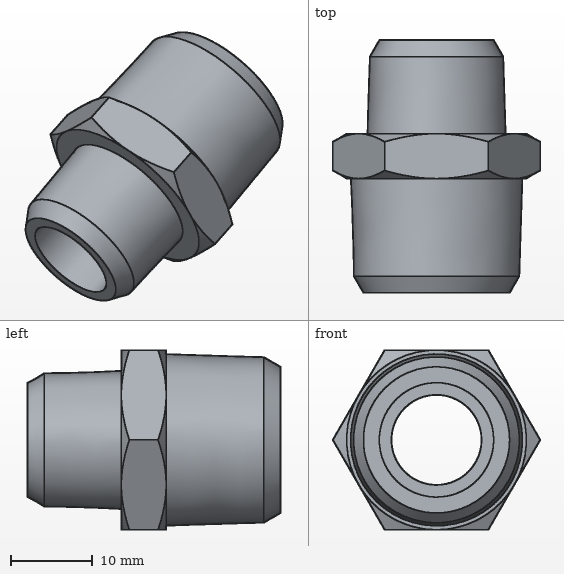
import cadquery as cq
import math

total_length = 31.0
hex_flats = 22.0
hex_width = 5.5
hex_chamfer_angle = 30.0

large_length = 14.0
large_end_diameter = 20.3
large_bore_diameter = 14.0

small_end_diameter = 16.37
small_bore_diameter = 11.0

end_chamfer_length = 2.08
end_chamfer_angle = 30.0
thread_taper = 1 / 16

small_length = total_length - large_length - hex_width
hex_rear = large_length + hex_width
large_bore_depth = large_length


def revolve_about_y(profile):
    """Revolve a closed (radius, y) profile around the Y axis."""
    return cq.Workplane("XY").polyline(profile).close().revolve(360, (0, 0, 0), (0, 1, 0))


def tapered_end(end_y, direction, length, end_diameter):
    """Tapered spigot with a chamfered tip; direction points from tip to hexagon."""
    rim_radius = end_diameter / 2
    tip_radius = rim_radius - end_chamfer_length * math.tan(math.radians(end_chamfer_angle))
    root_radius = rim_radius + (length - end_chamfer_length) * thread_taper / 2
    rim_y = end_y + direction * end_chamfer_length
    root_y = end_y + direction * length
    return revolve_about_y(
        [(0, end_y), (tip_radius, end_y), (rim_radius, rim_y), (root_radius, root_y), (0, root_y)]
    )


def chamfered_hexagon():
    """Hexagon with corners on the X axis, its corners turned down by cones on both faces."""
    corner_radius = hex_flats / 2 / math.cos(math.radians(30))
    face_radius = hex_flats / 2
    chamfer_width = (corner_radius - face_radius) * math.tan(math.radians(hex_chamfer_angle))
    prism = (
        cq.Workplane("XZ", origin=(0, hex_rear, 0))
        .polygon(6, 2 * corner_radius)
        .extrude(hex_width)
    )
    envelope = revolve_about_y(
        [
            (0, large_length),
            (face_radius, large_length),
            (corner_radius, large_length + chamfer_width),
            (corner_radius, hex_rear - chamfer_width),
            (face_radius, hex_rear),
            (0, hex_rear),
        ]
    )
    return prism.intersect(envelope)


def stepped_bore():
    """Through bore, wider from the large end."""
    wide_radius = large_bore_diameter / 2
    narrow_radius = small_bore_diameter / 2
    return revolve_about_y(
        [
            (0, 0),
            (wide_radius, 0),
            (wide_radius, large_bore_depth),
            (narrow_radius, large_bore_depth),
            (narrow_radius, total_length),
            (0, total_length),
        ]
    )


large_end = tapered_end(0, 1, large_length, large_end_diameter)
small_end = tapered_end(total_length, -1, small_length, small_end_diameter)
result = chamfered_hexagon().union(large_end).union(small_end).cut(stepped_bore())